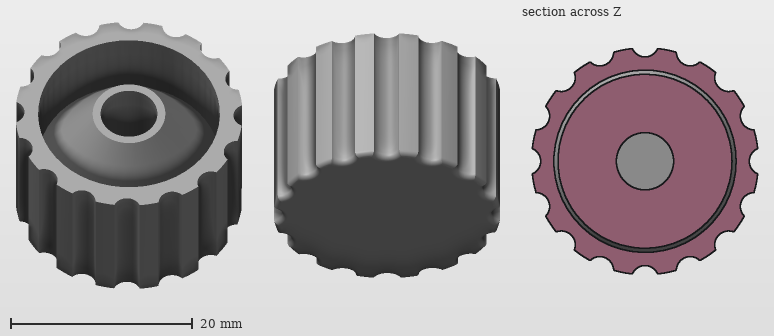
import cadquery as cq
import math

knob_radius = 12.5
knob_height = 16.0
flute_count = 16
flute_radius = 1.5
flute_centre_radius = 13.0
bottom_edge_radius = 0.6

recess_radius = 10.0
hub_top_radius = 4.0
hub_slope_degrees = 55.0

bore_diameter = 6.25
bore_depth = 12.0


def point_at(radius, angle):
    """Point in the XY plane at a radius and an angle in radians."""
    return (radius * math.cos(angle), radius * math.sin(angle))


def fluted_body():
    """Cylinder with round flutes and a rounded bottom edge."""
    half_flute = math.acos(
        (knob_radius**2 + flute_centre_radius**2 - flute_radius**2)
        / (2 * knob_radius * flute_centre_radius)
    )
    flute_floor_radius = flute_centre_radius - flute_radius
    pitch = 2 * math.pi / flute_count

    outline = cq.Workplane("XY").moveTo(*point_at(knob_radius, -half_flute))
    for index in range(flute_count):
        angle = index * pitch
        outline = outline.threePointArc(
            point_at(flute_floor_radius, angle),
            point_at(knob_radius, angle + half_flute),
        )
        outline = outline.threePointArc(
            point_at(knob_radius, angle + pitch / 2),
            point_at(knob_radius, angle + pitch - half_flute),
        )
    body = outline.close().extrude(knob_height)
    return body.faces("<Z").edges().fillet(bottom_edge_radius)


def hub_recess():
    """Ring-shaped cutter that leaves the conical hub standing."""
    recess_depth = (recess_radius - hub_top_radius) * math.tan(math.radians(hub_slope_degrees))
    recess_floor = knob_height - recess_depth
    return (
        cq.Workplane("XZ")
        .moveTo(hub_top_radius, knob_height)
        .lineTo(recess_radius, knob_height)
        .lineTo(recess_radius, recess_floor)
        .close()
        .revolve(360, (0, 0, 0), (0, 1, 0))
    )


def shaft_bore():
    """Blind bore cutter, open at the top of the hub."""
    return (
        cq.Workplane("XY")
        .workplane(offset=knob_height - bore_depth)
        .circle(bore_diameter / 2)
        .extrude(bore_depth)
    )


result = fluted_body().cut(hub_recess()).cut(shaft_bore())